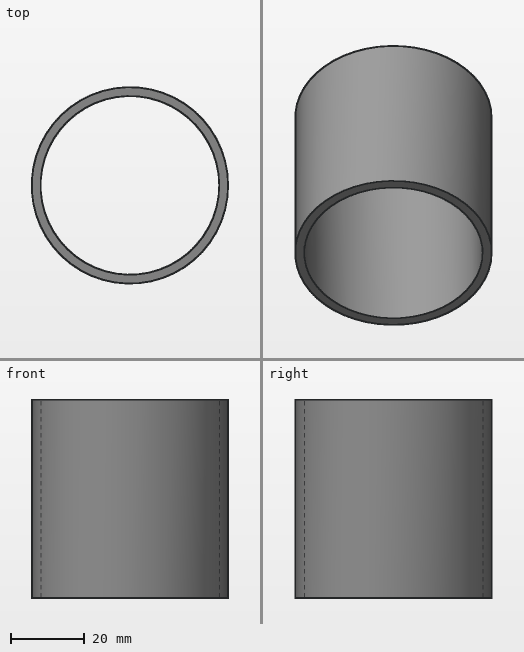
import cadquery as cq

height = 54.0
outer_diameter = 53.5
wall_thickness = 2.5
inner_diameter = outer_diameter - 2 * wall_thickness

result = (
    cq.Workplane("XY")
    .circle(outer_diameter / 2)
    .circle(inner_diameter / 2)
    .extrude(height)
)